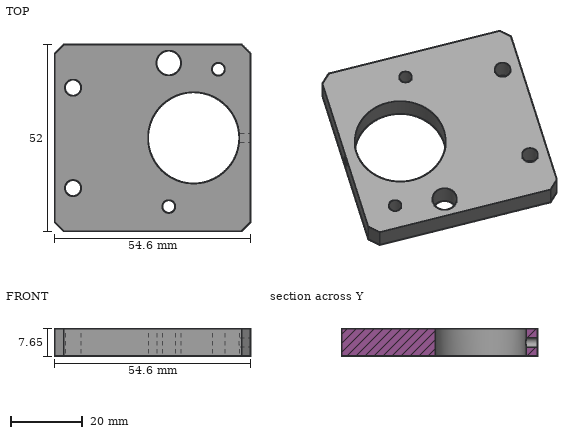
import cadquery as cq

length = 54.6
width = 52.05
thickness = 7.65
corner_chamfer = 2.55

bore_x = 11.4
bore_diameter = 25.35

mount_x = -22.15
mount_y = 14.0
mount_diameter = 4.4

upper_hole_x = 4.5
upper_hole_y = 20.85
upper_hole_diameter = 6.75
small_hole_points = [(18.3, 19.1), (upper_hole_x, -19.1)]
small_hole_diameter = 3.5

cross_hole_diameter = 2.5


def drill(plate, points, diameter):
    """Drill vertical through holes at the given XY points."""
    bottom = cq.Workplane("XY", origin=(0, 0, -thickness / 2))
    return plate.cut(bottom.pushPoints(points).circle(diameter / 2).extrude(thickness))


plate = cq.Workplane("XY").box(length, width, thickness)
plate = plate.edges("|Z").chamfer(corner_chamfer)

plate = drill(plate, [(bore_x, 0)], bore_diameter)
plate = drill(plate, [(mount_x, side * mount_y) for side in (-1, 1)], mount_diameter)
plate = drill(plate, [(upper_hole_x, upper_hole_y)], upper_hole_diameter)
plate = drill(plate, small_hole_points, small_hole_diameter)

cross_hole = (
    cq.Workplane("YZ", origin=(bore_x, 0, 0))
    .circle(cross_hole_diameter / 2)
    .extrude(length / 2 - bore_x)
)
result = plate.cut(cross_hole)